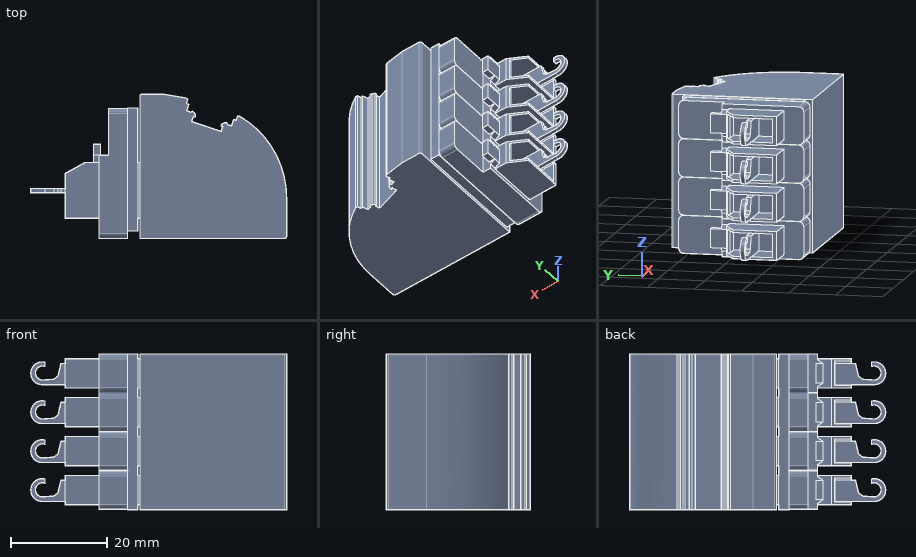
import cadquery as cq
import math


length = 53.15
depth = 30.0
height = 32.4

pole_count = 4
pole_pitch = 8.1
first_pole_z = 4.1

housing_x = 22.65
housing_corner_radius = 0.5
back_arc_radius = 19.65
back_arc_center_y = 8.4
back_arc_start_angle = 68.0
slope_start_x = 27.55
slope_run = 5.95
slope_angle = 9.5

notch_floor_x = 36.5
notch_floor_y = 23.3
notch_tilt = 18.6
notch_half_width = 3.2
notch_mouth_height = 7.45
notch_wall = [
    (0, 0),
    (0, 1.05),
    (-0.4, 1.05),
    (-0.35, 1.45),
    (0.1, 1.9),
    (0.6, 2.1),
    (0.85, 1.75),
    (1.7, 1.8),
    (1.7, 3.2),
    (2.25, 3.15),
    (2.25, 4.1),
    (2.75, 4.25),
]

frame_x = 20.1
frame_thickness = 2.15
frame_y_min = 1.55
frame_y_max = 27.1

block_x = 14.15
block_y_max = 27.0
block_height = 8.05
block_step_x = 16.1
block_step_y = 17.35
block_edge_radius = 1.05

socket_x = 7.1
socket_y_min = 4.2
socket_y_max = 15.8
socket_height = 6.1
socket_bevel_x = 11.25
socket_bevel_y = 13.5

cavity_y_min = 5.1
cavity_y_max = 15.4
cavity_deep_y_max = 14.95
cavity_height = 5.0
cavity_step_x = 10.65

tab_x = 13.05
tab_thickness = 1.5
tab_y_max = 19.6
tab_height = 4.0
tab_root_height = 5.65

hook_y_min = 9.45
hook_thickness = 0.95
hook_outer_radius = 2.4
hook_inner_radius = 1.4
hook_tip_x = 3.0
hook_tip_inner_z = 1.4
hook_bend_x = 4.8
hook_bend_z = -1.2
hook_neck_x = 5.65
hook_neck_z = -0.6
hook_shoulder_x = 6.3
hook_shoulder_z = 2.1


def box(x_range, y_range, z_range):
    """Block between the given limits on each axis."""
    sizes = [high - low for low, high in (x_range, y_range, z_range)]
    corner = (x_range[0], y_range[0], z_range[0])
    return cq.Workplane("XY").box(*sizes, centered=False).translate(corner)


def centered_on(z, size):
    """Limits of a span of the given size centered at z."""
    return (z - size / 2, z + size / 2)


def make_housing():
    """Prism with a flat front, a sloping back and a round far corner."""
    arc_center_x = length - back_arc_radius

    def arc_point(angle):
        return (
            arc_center_x + back_arc_radius * math.cos(math.radians(angle)),
            back_arc_center_y + back_arc_radius * math.sin(math.radians(angle)),
        )

    slope_end = (
        slope_start_x + slope_run,
        depth - slope_run * math.tan(math.radians(slope_angle)),
    )
    housing = (
        cq.Workplane("XY")
        .moveTo(housing_x, 0)
        .lineTo(housing_x, depth)
        .lineTo(slope_start_x, depth)
        .lineTo(*slope_end)
        .lineTo(*arc_point(back_arc_start_angle))
        .threePointArc(arc_point(back_arc_start_angle / 2), arc_point(0))
        .lineTo(length, 0)
        .close()
        .extrude(height)
    )
    rounded_corners = cq.selectors.BoxSelector(
        (housing_x - 0.55, depth - 0.55, 0), (housing_x + 0.55, depth + 0.55, height)
    ) + cq.selectors.BoxSelector((length - 0.55, -0.55, 0), (length + 0.55, 0.55, height))
    return housing.edges("|Z").edges(rounded_corners).fillet(housing_corner_radius)


def make_notch():
    """Cutter for the mirrored toothed notch, tilted to follow the sloping back."""
    right_wall = [(notch_half_width + out, up) for out, up in notch_wall]
    right_wall.append((right_wall[-1][0], notch_mouth_height))
    left_wall = [(-x, y) for x, y in reversed(right_wall)]
    return (
        cq.Workplane("XY")
        .polyline(right_wall + left_wall)
        .close()
        .extrude(height)
        .rotate((0, 0, 0), (0, 0, 1), -notch_tilt)
        .translate((notch_floor_x, notch_floor_y, 0))
    )


def make_frame():
    """Full-height plate that carries the pole blocks."""
    return box((frame_x, frame_x + frame_thickness), (frame_y_min, frame_y_max), (0, height))


def make_block(pole_z):
    """Stepped block with rounded outer edges along X."""
    z_range = centered_on(pole_z, block_height)
    block = box((block_x, frame_x), (0, block_y_max), z_range)
    block = block.edges("|X").fillet(block_edge_radius)
    return block.cut(box((block_x, block_step_x), (block_step_y, block_y_max), z_range))


def make_socket(pole_z):
    """Bevelled rectangular socket, open towards -X with a stepped cavity."""
    z_min = pole_z - socket_height / 2
    socket = (
        cq.Workplane("XY")
        .workplane(offset=z_min)
        .moveTo(socket_x, socket_y_min)
        .lineTo(block_x, socket_y_min)
        .lineTo(block_x, socket_y_max)
        .lineTo(socket_bevel_x, socket_y_max)
        .lineTo(socket_x, socket_bevel_y)
        .close()
        .extrude(socket_height)
    )
    z_range = centered_on(pole_z, cavity_height)
    mouth = box((socket_x, cavity_step_x), (cavity_y_min, cavity_y_max), z_range)
    deep_part = box((socket_x, block_x), (cavity_y_min, cavity_deep_y_max), z_range)
    return socket.cut(mouth).cut(deep_part)


def make_neck(pole_z):
    """Short bridge between the frame and the housing, as wide as the socket."""
    return box(
        (frame_x + frame_thickness, housing_x),
        (socket_y_min, socket_y_max),
        centered_on(pole_z, socket_height),
    )


def make_tab(pole_z):
    """Upright tab with a root that flares towards the block."""
    tab = box(
        (tab_x, tab_x + tab_thickness),
        (socket_y_max, tab_y_max),
        centered_on(pole_z, tab_height),
    )
    root = (
        cq.Workplane("XZ", origin=(0, block_step_y, pole_z))
        .moveTo(tab_x, -tab_height / 2)
        .lineTo(block_x, -tab_root_height / 2)
        .lineTo(block_x, tab_root_height / 2)
        .lineTo(tab_x, tab_height / 2)
        .close()
        .extrude(block_step_y - socket_y_max)
    )
    return tab.union(root)


def make_hook(pole_z):
    """Flat C-shaped hook whose stem runs through the socket cavity."""
    outer = hook_outer_radius
    inner = hook_inner_radius
    tip_offset = hook_tip_x - outer
    tip_outer_z = math.sqrt(outer**2 - tip_offset**2)
    return (
        cq.Workplane("XZ", origin=(0, hook_y_min + hook_thickness, pole_z))
        .moveTo(block_x, -outer)
        .lineTo(outer, -outer)
        .threePointArc((0, 0), (hook_tip_x, tip_outer_z))
        .lineTo(hook_tip_x, hook_tip_inner_z)
        .threePointArc((outer - inner, 0), (outer, -inner))
        .lineTo(hook_bend_x, hook_bend_z)
        .lineTo(hook_neck_x, hook_neck_z)
        .lineTo(hook_shoulder_x, hook_shoulder_z)
        .lineTo(block_x, hook_shoulder_z)
        .close()
        .extrude(hook_thickness)
    )


result = make_housing().cut(make_notch()).union(make_frame())
for pole in range(pole_count):
    pole_z = first_pole_z + pole * pole_pitch
    for make_feature in (make_block, make_socket, make_neck, make_tab, make_hook):
        result = result.union(make_feature(pole_z))